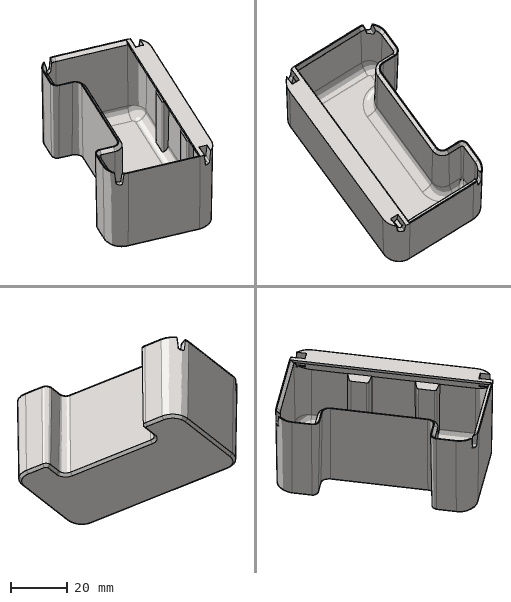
import cadquery as cq
import math

length = 73.2
width = 41.2
height = 33.7
draft_angle = 0.85
corner_radius = 7.0
bottom_chamfer = 1.0

recess_length = 40.0
recess_depth = 10.0
recess_radius = 2.5

wall = 1.6
floor_thickness = 1.55
floor_fillet = 4.0
rim_land = 0.4
rim_flare_angle = 45.0

shelf_depth = 6.95
shelf_edge_height = 1.0
shelf_slope = 52.0

rib_spacing = 24.4
rib_face_width = 6.8
rib_depth = 2.2
rib_side_angle = 27.0
rib_top_height = 24.45
rib_top_angle = 45.0
rib_edge_fillet = 0.9

notch_offset = 16.75
notch_depth = 5.0
notch_top_width = 3.0
notch_side_angle = 6.3
notch_fillet = 0.65
notch_length = 5.3

overlap = 0.7

back_y = width / 2
front_y = -width / 2
cavity_back_y = back_y - wall
shelf_front_y = back_y - shelf_depth


def outline():
    """Closed U-shaped outline of the rim at the top of the body."""
    r = corner_radius
    s = recess_radius
    half = length / 2
    half_recess = recess_length / 2
    recess_y = front_y + recess_depth
    sketch = (
        cq.Workplane("XY")
        .workplane(offset=height)
        .moveTo(-half + r, back_y)
        .lineTo(half - r, back_y)
        .radiusArc((half, back_y - r), r)
        .lineTo(half, front_y + r)
        .radiusArc((half - r, front_y), r)
        .lineTo(half_recess + s, front_y)
        .radiusArc((half_recess, front_y + s), s)
        .lineTo(half_recess, recess_y - s)
        .radiusArc((half_recess - s, recess_y), -s)
        .lineTo(-half_recess + s, recess_y)
        .radiusArc((-half_recess, recess_y - s), -s)
        .lineTo(-half_recess, front_y + s)
        .radiusArc((-half_recess - s, front_y), s)
        .lineTo(-half + r, front_y)
        .radiusArc((-half, front_y + r), r)
        .lineTo(-half, back_y - r)
        .radiusArc((-half + r, back_y), r)
        .close()
    )
    return sketch


def side_prism(points, x_start, x_length):
    """Prism along X from a closed (y, z) outline."""
    return cq.Workplane("YZ").workplane(offset=x_start).polyline(points).close().extrude(x_length)


def make_body():
    body = outline().extrude(-height, taper=draft_angle)
    return body.faces("<Z").chamfer(bottom_chamfer)


def make_shelf():
    """Shelf block with a short upright front edge and an underside that slopes down to the back."""
    underside_drop = shelf_depth * math.tan(math.radians(shelf_slope))
    edge_z = height - shelf_edge_height
    points = [
        (shelf_front_y, height + overlap),
        (back_y, height + overlap),
        (back_y, edge_z - underside_drop),
        (shelf_front_y, edge_z),
    ]
    return side_prism(points, -length / 2, length)


def make_rib(centre_x):
    """Upright rib that widens towards the back wall, with a top that slopes up to the wall."""
    reach = rib_depth + wall / 2
    spread = reach * math.tan(math.radians(rib_side_angle))
    face_y = cavity_back_y - rib_depth
    half_face = rib_face_width / 2
    foot_z = floor_thickness / 2
    rib = (
        cq.Workplane("XY")
        .workplane(offset=foot_z)
        .moveTo(centre_x - half_face, face_y)
        .lineTo(centre_x + half_face, face_y)
        .lineTo(centre_x + half_face + spread, face_y + reach)
        .lineTo(centre_x - half_face - spread, face_y + reach)
        .close()
        .extrude(height - foot_z)
    )
    rib = rib.edges("|Z and <Y").fillet(rib_edge_fillet)
    top_rise = reach * math.tan(math.radians(rib_top_angle))
    above_top = [
        (face_y, rib_top_height),
        (face_y + reach, rib_top_height + top_rise),
        (face_y + reach, height + overlap),
        (face_y, height + overlap),
    ]
    return rib.cut(side_prism(above_top, -length / 2, length))


def make_cavity():
    """Inside of the tub with a rounded floor, flared at the rim and cut short by the shelf and ribs."""
    cavity = outline().offset2D(-wall).extrude(-(height - floor_thickness), taper=draft_angle)
    cavity = cavity.faces("<Z").edges().fillet(floor_fillet)
    flare_depth = (wall - rim_land) / math.tan(math.radians(rim_flare_angle))
    flare = outline().offset2D(-rim_land).extrude(-flare_depth, taper=rim_flare_angle)
    cavity = cavity.union(flare).cut(make_shelf())
    for side in (-1, 1):
        cavity = cavity.cut(make_rib(side * rib_spacing / 2))
    return cavity


def make_notch(centre_y, side):
    """Tapered notch cut down into the rim from one end of the tub."""
    half_top = notch_top_width / 2
    half_bottom = half_top - notch_depth * math.tan(math.radians(notch_side_angle))
    bottom_z = height - notch_depth
    points = [
        (centre_y - half_top, height),
        (centre_y + half_top, height),
        (centre_y + half_bottom, bottom_z),
        (centre_y - half_bottom, bottom_z),
    ]
    notch = side_prism(points, side * length / 2, -side * notch_length)
    return notch.faces("<Z").edges("|X").fillet(notch_fillet)


result = make_body().cut(make_cavity())
for notch_y in (-notch_offset, notch_offset):
    for side in (-1, 1):
        result = result.cut(make_notch(notch_y, side))